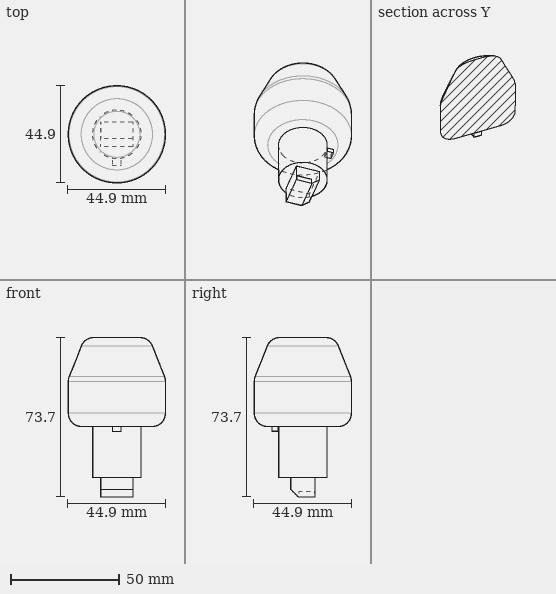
import cadquery as cq

total_height = 73.65
stem_bottom = 9.05
head_bottom = 32.5

head_radius = 22.45
cone_height = 19.1
cone_top_radius = 14.9
head_rounding = 6.25
cone_bottom = total_height - cone_height

stem_radius = head_radius / 2

key_width = 3.8
key_drop = 2.2
key_inner_reach = 11.3
key_outer_reach = 14.3

tongue_width = 14.95
tongue_depth = 11.3
tongue_chamfer = 3.6

relief_depth = 0.1
relief_height = 2.65
relief_margin = 0.2


def make_head():
    """Revolve the half profile about Z, then round its three outer edges."""
    profile = (
        cq.Workplane("XZ")
        .moveTo(0, head_bottom)
        .lineTo(head_radius, head_bottom)
        .lineTo(head_radius, cone_bottom)
        .lineTo(cone_top_radius, total_height)
        .lineTo(0, total_height)
        .close()
    )
    head = profile.revolve(360, (0, 0), (0, 1))
    return head.edges("%CIRCLE").fillet(head_rounding)


def make_stem():
    stem_length = head_bottom - stem_bottom
    return cq.Workplane("XY").workplane(offset=stem_bottom).circle(stem_radius).extrude(stem_length)


def make_key():
    key_length = key_outer_reach - key_inner_reach
    return (
        cq.Workplane("XY")
        .workplane(offset=head_bottom - key_drop)
        .center(0, -(key_inner_reach + key_outer_reach) / 2)
        .rect(key_width, key_length)
        .extrude(key_drop)
    )


def make_tongue():
    tongue = cq.Workplane("XY").rect(tongue_width, tongue_depth).extrude(stem_bottom)
    tongue = tongue.edges("<Y and <Z").chamfer(tongue_chamfer)

    relief_back = tongue_depth / 2 - relief_margin
    relief_front = tongue_chamfer + relief_margin - tongue_depth / 2
    relief = (
        cq.Workplane("XY")
        .center(-tongue_width / 2, (relief_back + relief_front) / 2)
        .rect(2 * relief_depth, relief_back - relief_front)
        .extrude(relief_height)
    )
    return tongue.cut(relief)


result = make_head().union(make_stem()).union(make_key()).union(make_tongue())